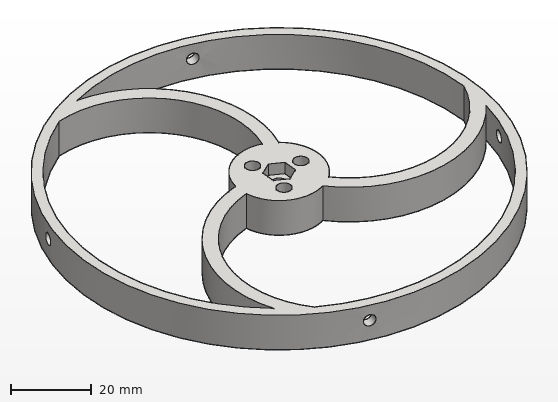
import cadquery as cq
import math

wheel_diameter = 123.0
wheel_height = 10.6
rim_thickness = 3.0
rim_inner_radius = wheel_diameter / 2 - rim_thickness

hub_diameter = 25.0
hub_hole_diameter = 4.0
mounting_circle_radius = 7.0
mounting_hole_count = 3
nut_across_flats = 7.1
nut_recess_depth = 3.5

spoke_count = 3
spoke_width = 4.0
spoke_outer_radius = 34.0
spoke_center_x = -9.7
spoke_center_y = 30.8

rim_hole_count = 4
rim_hole_diameter = 3.3
rim_hole_height = 6.0
rim_hole_start_angle = 71.6


def disc(diameter):
    return cq.Workplane("XY").circle(diameter / 2).extrude(wheel_height)


def make_spoke():
    """Ring on an offset center, kept on its +X side and ending at mid rim."""
    band = (
        cq.Workplane("XY")
        .center(spoke_center_x, spoke_center_y)
        .circle(spoke_outer_radius)
        .circle(spoke_outer_radius - spoke_width)
        .extrude(wheel_height)
    )
    right_half = (
        cq.Workplane("XY")
        .rect(wheel_diameter, 2 * wheel_diameter)
        .extrude(wheel_height)
        .translate((wheel_diameter / 2, 0, 0))
    )
    return band.intersect(right_half).intersect(disc(wheel_diameter - rim_thickness))


def make_rim_hole(angle):
    """Radial cutter that crosses only the rim wall."""
    direction = cq.Vector(math.cos(math.radians(angle)), math.sin(math.radians(angle)), 0)
    start = direction * (rim_inner_radius - rim_thickness / 2) + cq.Vector(0, 0, rim_hole_height)
    return cq.Solid.makeCylinder(rim_hole_diameter / 2, 2 * rim_thickness, start, direction)


rim = disc(wheel_diameter).cut(disc(2 * rim_inner_radius))
wheel = rim.union(disc(hub_diameter))
spoke = make_spoke()
for index in range(spoke_count):
    wheel = wheel.union(spoke.rotate((0, 0, 0), (0, 0, 1), index * 360 / spoke_count))

hub_hole = disc(hub_hole_diameter)
wheel = wheel.cut(hub_hole)
for index in range(mounting_hole_count):
    mounting_hole = hub_hole.translate((0, mounting_circle_radius, 0))
    wheel = wheel.cut(mounting_hole.rotate((0, 0, 0), (0, 0, 1), index * 360 / mounting_hole_count))

nut_across_corners = nut_across_flats / math.cos(math.pi / 6)
nut_recess = (
    cq.Workplane("XY", origin=(0, 0, wheel_height))
    .polygon(6, nut_across_corners)
    .extrude(-nut_recess_depth)
)
wheel = wheel.cut(nut_recess)

for index in range(rim_hole_count):
    wheel = wheel.cut(make_rim_hole(rim_hole_start_angle + index * 360 / rim_hole_count))

result = wheel